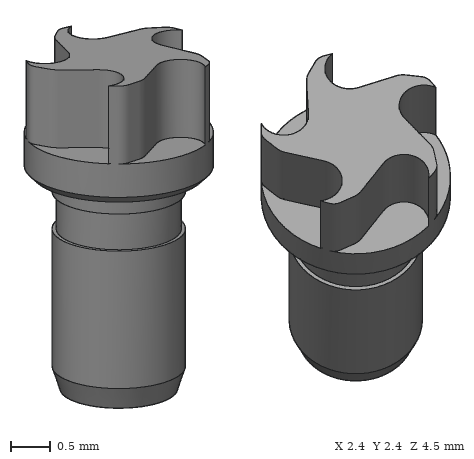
import cadquery as cq
import math

total_height = 4.5
head_diameter = 2.4
shank_diameter = 1.69
neck_diameter = 1.59

lobe_height = 1.05
flange_thickness = 0.55
collar_height = 0.25
neck_height = 0.5
flange_chamfer = 0.1
tip_taper_inset = 0.1
tip_taper_height = 0.3

flute_count = 5
flute_radius = 0.315
flute_wall_x = -0.585
flute_center_y = 0.26
wall_top_y = 0.832
flare_angle = 28.5
bend_blend_radius = 0.248
rim_blend_radius = 0.18

head_radius = head_diameter / 2
shank_radius = shank_diameter / 2
neck_radius = neck_diameter / 2
flange_top = total_height - lobe_height
flange_bottom = flange_top - flange_thickness
neck_top = flange_bottom - collar_height
neck_bottom = neck_top - neck_height


def make_body():
    """Revolved shank, grooved neck and chamfered flange."""
    profile = [
        (0, 0),
        (shank_radius - tip_taper_inset, 0),
        (shank_radius, tip_taper_height),
        (shank_radius, neck_bottom),
        (neck_radius, neck_bottom),
        (neck_radius, neck_top),
        (shank_radius, neck_top),
        (shank_radius, flange_bottom),
        (head_radius - flange_chamfer, flange_bottom),
        (head_radius, flange_bottom + flange_chamfer),
        (head_radius, flange_top),
        (0, flange_top),
    ]
    return cq.Workplane("XZ").polyline(profile).close().revolve(360, (0, 0), (0, 1))


def make_flute():
    """Cutter with a round end, a straight wall and a flared mouth, running past the rim."""
    center_x = flute_wall_x - flute_radius
    flare_length = head_radius
    flare_end = (
        flute_wall_x + flare_length * math.sin(math.radians(flare_angle)),
        wall_top_y + flare_length * math.cos(math.radians(flare_angle)),
    )
    outside_x = -2 * head_radius
    return (
        cq.Workplane("XY", origin=(0, 0, flange_top))
        .moveTo(center_x - flute_radius, flute_center_y)
        .threePointArc((center_x, flute_center_y - flute_radius), (flute_wall_x, flute_center_y))
        .lineTo(flute_wall_x, wall_top_y)
        .lineTo(*flare_end)
        .lineTo(outside_x, flare_end[1])
        .lineTo(outside_x, flute_center_y)
        .close()
        .extrude(lobe_height)
    )


def lobe_corner_points():
    """Lobe corners on the first flute: the wall-to-flare bend and the flare-to-rim edge."""
    sine = math.sin(math.radians(flare_angle))
    cosine = math.cos(math.radians(flare_angle))
    along = flute_wall_x * sine + wall_top_y * cosine
    inside = head_radius**2 - flute_wall_x**2 - wall_top_y**2
    reach = math.sqrt(along**2 + inside) - along
    rim_point = (flute_wall_x + reach * sine, wall_top_y + reach * cosine)
    return [(flute_wall_x, wall_top_y), rim_point]


def make_lobes():
    """Five curved lobes left between the flutes, with their leading corners rounded."""
    lobes = cq.Workplane("XY", origin=(0, 0, flange_top)).circle(head_radius).extrude(lobe_height)
    flute = make_flute()
    angles = [index * 360 / flute_count for index in range(flute_count)]
    for angle in angles:
        lobes = lobes.cut(flute.rotate((0, 0, 0), (0, 0, 1), angle))

    bend_point, rim_point = lobe_corner_points()
    for (x, y), radius in ((bend_point, bend_blend_radius), (rim_point, rim_blend_radius)):
        corner = cq.Vertex.makeVertex(x, y, flange_top + lobe_height / 2)
        edges = []
        for angle in angles:
            position = corner.rotate((0, 0, 0), (0, 0, 1), angle)
            nearest = cq.selectors.NearestToPointSelector(position.toTuple())
            edges.append(lobes.edges("|Z").edges(nearest).val())
        lobes = lobes.newObject(edges).fillet(radius)
    return lobes


result = make_body().union(make_lobes())